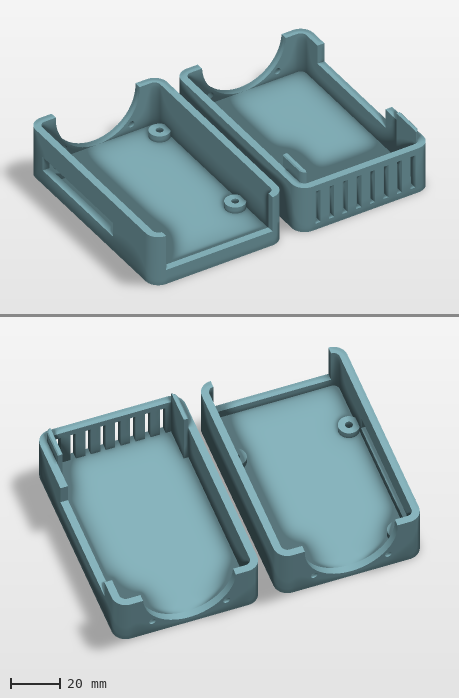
import cadquery as cq

wall = 3.25
cavity_length = 90.0
cavity_width = 56.25
cavity_corner_radius = 2.75
floor_thickness = 3.0
length = cavity_length + 2 * wall
width = cavity_width + 2 * wall
corner_radius = cavity_corner_radius + wall
base_height = 24.0
lid_height = 22.0
shell_gap = 7.0

fan_diameter = 40.0
fan_centre_z = 23.0
fan_screw_spacing = 32.0
fan_screw_diameter = 2.9

standoff_diameter = 9.0
standoff_height = 3.0
standoff_hole_diameter = 3.25
standoff_spacing_x = 58.0
standoff_spacing_y = 48.75
standoff_first_x = wall + 8.25

window_start_x = 11.5
window_length = 54.0
window_bottom_z = 7.0
window_height = 6.75

port_sill_z = 7.0
port_width = width - 2 * corner_radius

notch_start_x = 14.5
notch_length = 52.0
notch_bottom_z = 13.0

vent_count = 8
vent_pitch = 6.45
vent_width = 2.4
vent_top_z = 19.0

tab_length = 15.0
tab_thickness = 2.0
tab_top_z = 28.0
tab_chamfer = 0.5


def box_between(x_range, y_range, z_range):
    """Box spanning the given (low, high) range along each axis."""
    (x0, x1), (y0, y1), (z0, z1) = x_range, y_range, z_range
    return cq.Workplane("XY").box(x1 - x0, y1 - y0, z1 - z0, centered=False).translate((x0, y0, z0))


def cavity_block(top_z):
    """Rounded block that fills the cavity from the floor up to top_z."""
    block = box_between((wall, length - wall), (wall, width - wall), (floor_thickness, top_z))
    return block.edges("|Z").fillet(cavity_corner_radius)


def fan_cutter():
    """Fan opening and screw holes, running through the -X wall."""
    screw_z = fan_centre_z - fan_screw_spacing / 2
    screw_points = [(width / 2 + side * fan_screw_spacing / 2, screw_z) for side in (-1, 1)]
    opening = cq.Workplane("YZ").center(width / 2, fan_centre_z).circle(fan_diameter / 2).extrude(wall)
    screws = cq.Workplane("YZ").pushPoints(screw_points).circle(fan_screw_diameter / 2).extrude(wall)
    return opening.union(screws)


def open_shell(height):
    """Open-topped rounded box with the fan opening in its -X wall."""
    outer = box_between((0, length), (0, width), (0, height)).edges("|Z").fillet(corner_radius)
    return outer.cut(cavity_block(height)).cut(fan_cutter())


def add_standoffs(shell):
    """Four standoffs, each drilled through together with the floor."""
    points = [
        (standoff_first_x + column * standoff_spacing_x, width / 2 + side * standoff_spacing_y / 2)
        for column in (0, 1)
        for side in (-1, 1)
    ]
    top_z = floor_thickness + standoff_height
    posts = cq.Workplane("XY").workplane(offset=floor_thickness).pushPoints(points)
    posts = posts.circle(standoff_diameter / 2).extrude(standoff_height)
    posts = posts.intersect(cavity_block(top_z))
    holes = cq.Workplane("XY").pushPoints(points).circle(standoff_hole_diameter / 2).extrude(top_z)
    return shell.union(posts).cut(holes)


def connector_window():
    return box_between(
        (window_start_x, window_start_x + window_length),
        (0, wall),
        (window_bottom_z, window_bottom_z + window_height),
    )


def port_opening():
    y_low = (width - port_width) / 2
    return box_between((length - wall, length), (y_low, y_low + port_width), (port_sill_z, base_height))


def connector_notch():
    return box_between(
        (notch_start_x, notch_start_x + notch_length),
        (width - wall, width),
        (notch_bottom_z, lid_height),
    )


def vent_slots():
    """Row of upright slots centred on the +X wall, starting at floor level."""
    slots = cq.Workplane("XY")
    for index in range(vent_count):
        y = width / 2 + (index - (vent_count - 1) / 2) * vent_pitch
        slots = slots.union(
            box_between(
                (length - wall, length),
                (y - vent_width / 2, y + vent_width / 2),
                (floor_thickness, vent_top_z),
            )
        )
    return slots


def locating_tabs():
    """Two tabs against the side walls, following the cavity corners, with a lead-in chamfer."""
    block = cavity_block(tab_top_z).faces(">Z").chamfer(tab_chamfer)
    x_range = (length - wall - tab_length, length - wall)
    z_range = (floor_thickness, tab_top_z)
    front_zone = box_between(x_range, (wall, wall + tab_thickness), z_range)
    rear_zone = box_between(x_range, (width - wall - tab_thickness, width - wall), z_range)
    return block.intersect(front_zone.union(rear_zone))


def make_base():
    shell = add_standoffs(open_shell(base_height))
    return shell.cut(connector_window()).cut(port_opening())


def make_lid():
    shell = open_shell(lid_height).cut(connector_notch()).cut(vent_slots())
    return shell.union(locating_tabs()).translate((0, width + shell_gap, 0))


base = make_base()
lid = make_lid()

result = cq.Compound.makeCompound([base.val(), lid.val()])